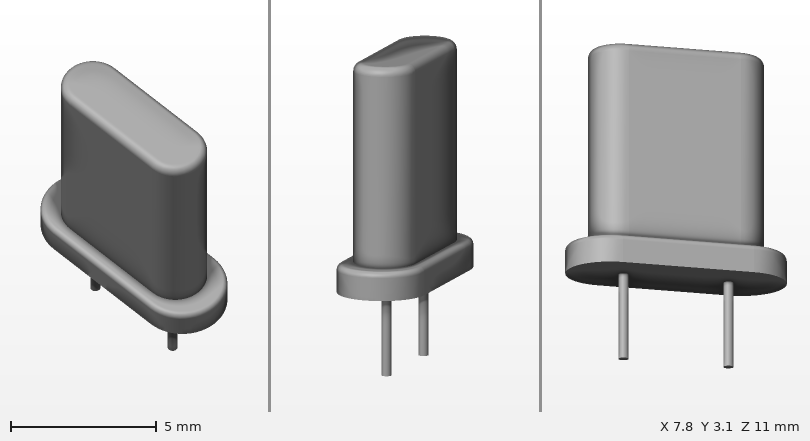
import cadquery as cq

total_height = 11.0

base_length = 7.8
base_width = 3.1
base_height = 1.0
base_rim_radius = 0.2

can_length = 6.2
can_width = 2.2
can_top_radius = 0.3

pin_diameter = 0.35
pin_length = 3.0
pin_spacing = 3.75

base_top = pin_length + base_height
can_height = total_height - base_top


def rounded_column(length, width, height, bottom, edge_radius):
    """Upright stadium-shaped column with its top edge rounded."""
    return (
        cq.Workplane("XY")
        .workplane(offset=bottom)
        .slot2D(length, width)
        .extrude(height)
        .faces(">Z")
        .edges()
        .fillet(edge_radius)
    )


def make_housing():
    """Can and base flange as one solid."""
    base = rounded_column(base_length, base_width, base_height, pin_length, base_rim_radius)
    can = rounded_column(can_length, can_width, can_height, base_top, can_top_radius)
    return base.union(can)


def make_pin(x):
    """Round lead that ends against the underside of the base."""
    return cq.Workplane("XY").center(x, 0).circle(pin_diameter / 2).extrude(pin_length)


housing = make_housing()
pins = [make_pin(side * pin_spacing / 2) for side in (-1, 1)]

result = cq.Compound.makeCompound([housing.val(), *[pin.val() for pin in pins]])